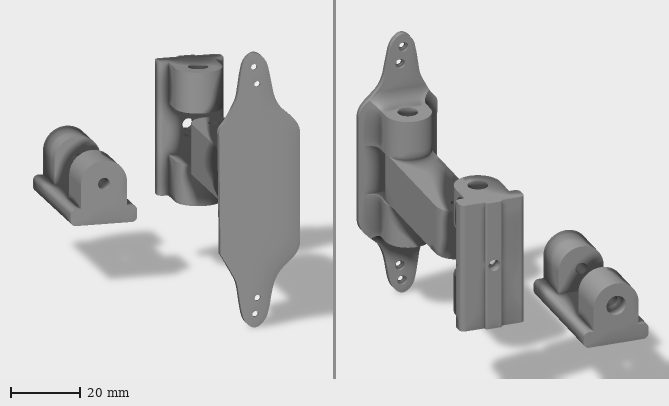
import cadquery as cq
import math


lug_radius = 7.0
lug_length = 12.2
lug_gap = 15.5
hinge_length = 2 * lug_length + lug_gap
screw_hole_dia = 3.5
screw_head_dia = 6.0
lug_head_depth = 3.25

overall_length = 95.6
plate_height = 82.1
plate_thickness = 2.0
plate_face_x = 7.55
plate_back_x = plate_face_x + plate_thickness
flare_radius = 4.1
bracket_drop = 0.3
plate_hole_dia = 1.8
plate_head_dia = 3.0
plate_head_depth = 1.0
plate_holes = [(-1.6, 36.9), (-0.7, 31.7), (-0.6, -32.3), (-1.2, -37.1)]
ear_minus_y = [(-11.85, 19.1), (-10.0, 21.4), (-8.4, 24.4), (-7.0, 27.2), (-6.2, 31.1),
               (-5.4, 35.9), (-4.3, 39.2)]
ear_tip = (-1.5, plate_height / 2)
ear_plus_y = [(1.4, 39.2), (2.8, 35.9), (3.6, 31.1), (4.7, 27.2), (5.9, 24.9), (8.7, 22.2), (11.3, 19.3)]
shoulder_plus_y = (12.1, 16.6)
shoulder_minus_y = (-12.1, 16.9)
lower_shoulder_minus_y = (-11.8, 18.5)

arm_radius = 6.6
arm_height = 15.1
arm_hole_spacing = 38.9

base_width = 20.0
base_round = 1.5
base_thickness = 5.0
base_inner_x = -7.1
base_outer_x = base_inner_x - base_thickness
base_head_depth = 3.25
rib_width = 5.2
rib_height = 1.0
rib_round = 0.6

ribbed_clevis_x = -55.4
plain_clevis_x = plate_back_x - overall_length + hinge_length / 2
plain_clevis_y = -31.0
plain_clevis_z = -10.4


def cylinder_x(diameter, x_start, length, y=0.0, z=0.0):
    """Cylinder along +X."""
    return cq.Workplane("YZ", origin=(x_start, y, z)).circle(diameter / 2).extrude(length)


def hinge_bore():
    """Cutter for the hinge: a bore through both lugs and a screw-head recess in the upper lug."""
    bore = cq.Workplane("XY").circle(screw_hole_dia / 2).extrude(hinge_length / 2, both=True)
    head = (
        cq.Workplane("XY", origin=(0, 0, hinge_length / 2 - lug_head_depth))
        .circle(screw_head_dia / 2)
        .extrude(lug_head_depth)
    )
    return bore.union(head)


def plate_outline():
    """Plate outline extruded over the full depth of the bracket, lugs included."""
    lower_minus_y = [(y, -z) for y, z in ear_minus_y[1:]]
    lower_plus_y = [(y, -z) for y, z in reversed(ear_plus_y)]
    lower_tip = (ear_tip[0], -ear_tip[1])
    lower_shoulder_plus_y = (shoulder_plus_y[0], -shoulder_plus_y[1])
    lower_shoulder = (lower_shoulder_minus_y[0], -lower_shoulder_minus_y[1])
    upper_ear = [*ear_minus_y, ear_tip, *ear_plus_y, shoulder_plus_y]
    lower_ear = [*lower_plus_y, lower_tip, *reversed(lower_minus_y), lower_shoulder]
    return (
        cq.Workplane("YZ", origin=(-lug_radius, 0, 0))
        .moveTo(*shoulder_minus_y)
        .spline(upper_ear, includeCurrent=True)
        .lineTo(*lower_shoulder_plus_y)
        .spline(lower_ear, includeCurrent=True)
        .close()
        .extrude(lug_radius + plate_back_x)
    )


def flared_lug():
    """Upper bracket lug: round at the hinge, flaring into the plate at its sides and its outer end."""
    diagonal = flare_radius * math.sqrt(0.5)
    flare_start_x = plate_face_x - flare_radius
    flare_half_width = lug_radius + flare_radius
    flare_mid = (flare_start_x + diagonal, flare_half_width - diagonal)
    plan = (
        cq.Workplane("XY")
        .moveTo(0, lug_radius)
        .lineTo(flare_start_x, lug_radius)
        .threePointArc(flare_mid, (plate_face_x, flare_half_width))
        .lineTo(plate_face_x, -flare_half_width)
        .threePointArc((flare_mid[0], -flare_mid[1]), (flare_start_x, -lug_radius))
        .lineTo(0, -lug_radius)
        .threePointArc((-lug_radius, 0), (0, lug_radius))
        .close()
        .extrude(hinge_length)
    )
    inner_z = lug_gap / 2
    outer_z = hinge_length / 2
    side = (
        cq.Workplane("XZ")
        .moveTo(-lug_radius, inner_z)
        .lineTo(plate_face_x, inner_z)
        .lineTo(plate_face_x, outer_z + flare_radius)
        .threePointArc((flare_start_x + diagonal, outer_z + flare_radius - diagonal), (flare_start_x, outer_z))
        .lineTo(-lug_radius, outer_z)
        .close()
        .extrude(flare_half_width, both=True)
    )
    return plan.intersect(side)


def make_wall_bracket():
    outline = plate_outline()
    plate_slab = cq.Workplane("XY").box(
        plate_thickness, overall_length, overall_length, centered=(False, True, True)
    ).translate((plate_face_x, 0, 0))
    bracket = outline.intersect(plate_slab)
    upper_lug = flared_lug()
    for lug in (upper_lug, upper_lug.mirror("XY")):
        bracket = bracket.union(lug.translate((0, 0, -bracket_drop)).intersect(outline))
    bracket = bracket.cut(hinge_bore().translate((0, 0, -bracket_drop)))
    for y, z in plate_holes:
        bracket = bracket.cut(cylinder_x(plate_hole_dia, plate_face_x, plate_thickness, y, z))
        bracket = bracket.cut(cylinder_x(plate_head_dia, plate_face_x, plate_head_depth, y, z))
    return bracket


def make_swing_arm():
    """Arm whose top face bears on the underside of the bracket's upper lug."""
    top_z = lug_gap / 2 - bracket_drop
    return (
        cq.Workplane("XY", origin=(-arm_hole_spacing / 2, 0, top_z))
        .slot2D(arm_hole_spacing + 2 * arm_radius, 2 * arm_radius)
        .pushPoints([(-arm_hole_spacing / 2, 0), (arm_hole_spacing / 2, 0)])
        .circle(screw_hole_dia / 2)
        .extrude(-arm_height)
    )


def clevis_base():
    """Base plate with rounded long edges, on the -X side of the hinge axis."""
    return (
        cq.Workplane("XY")
        .box(base_thickness, base_width, hinge_length, centered=(False, True, True))
        .edges("|Z")
        .fillet(base_round)
        .translate((base_outer_x, 0, 0))
    )


def clevis_lugs():
    """Two round-ended lugs standing on the base, with the gap for the arm between them."""
    lugs = (
        cq.Workplane("XY")
        .moveTo(base_inner_x, lug_radius)
        .lineTo(0, lug_radius)
        .threePointArc((lug_radius, 0), (0, -lug_radius))
        .lineTo(base_inner_x, -lug_radius)
        .close()
        .extrude(hinge_length / 2, both=True)
    )
    gap = cq.Workplane("XY").box(4 * lug_radius, 4 * lug_radius, lug_gap)
    return lugs.cut(gap)


def clevis_rib():
    """Rib along the outer face of the base, with rounded outer edges."""
    return (
        cq.Workplane("XY")
        .box(rib_height, rib_width, hinge_length, centered=(False, True, True))
        .edges("|Z and <X")
        .fillet(rib_round)
        .translate((base_outer_x - rib_height, 0, 0))
    )


def base_bore():
    """Cutter for the screw hole through base and rib, with its head recess on the lug side."""
    depth = base_thickness + rib_height
    hole = cylinder_x(screw_hole_dia, base_inner_x - depth, depth)
    return hole.union(cylinder_x(screw_head_dia, base_inner_x - base_head_depth, base_head_depth))


def make_plain_clevis():
    return clevis_base().union(clevis_lugs()).cut(hinge_bore()).cut(base_bore())


def make_ribbed_clevis():
    return clevis_base().union(clevis_rib()).union(clevis_lugs()).cut(hinge_bore()).cut(base_bore())


wall_bracket = make_wall_bracket()
swing_arm = make_swing_arm()
ribbed_clevis = make_ribbed_clevis().translate((ribbed_clevis_x, 0, 0))
plain_clevis = (
    make_plain_clevis()
    .rotate((0, 0, 0), (0, 1, 0), -90)
    .translate((plain_clevis_x, plain_clevis_y, plain_clevis_z))
)

result = cq.Compound.makeCompound(
    [wall_bracket.val(), swing_arm.val(), ribbed_clevis.val(), plain_clevis.val()]
)